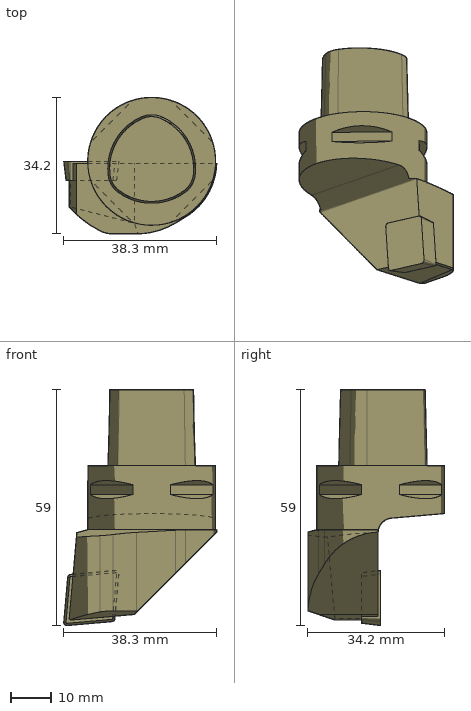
import cadquery as cq
import math

shank_length = 19.0
shank_half_taper = math.degrees(math.atan(1 / 40))
lobe_reach = 11.65
side_reach = 10.5
lobe_radius = 6.25
lobe_directions = (90, 210, 330)

flange_radius = 16.0
flange_height = 16.0

groove_depth_z = -6.0
groove_floor_distance = 14.15
groove_floor_width = 2.4
groove_flank_angle = 30.0
groove_directions = (45, 135, 225, 315)

lead_angle = 5.0
head_bottom = -45.0
head_top_slope = 15.0
heel_radius = 16.3
front_y = -18.16
front_start_x = -9.72
front_end_x = -3.77
front_round_radius = 18.75
nose_blend_radius = 7.0
nose_blend_angle = 27.0
side_round_radius = 26.0
side_round_span = 26.0
back_relief_offset = 32.9
front_relief_angle = 19.0
front_relief_z = -36.3
head_corner_chamfer = 0.4
head_setback = 1.3

rake_face_y = -0.6
chip_roof_angle = 5.0
chip_roof_z = -13.45
chip_round_radius = 3.6

tip_x = -22.0
tip_z = -40.0
insert_edge = 12.9
insert_thickness = 4.76
insert_clearance = 7.0
insert_nose_radius = 0.8

cut_reach = 60.0


def polar(center, radius, angle):
    """Point at a radius and angle in degrees around a centre."""
    turn = math.radians(angle)
    return (center[0] + radius * math.cos(turn), center[1] + radius * math.sin(turn))


def make_shank():
    """Tapered polygon of three small lobe arcs joined tangentially by three wide side arcs."""
    lobe_offset = lobe_reach - lobe_radius
    step = side_reach - lobe_radius
    side_offset = (lobe_offset**2 - step**2) / (2 * step - lobe_offset)
    tangent_angle = math.degrees(math.atan2(
        side_offset * math.sin(math.radians(60)),
        lobe_offset + side_offset * math.cos(math.radians(60)),
    ))
    origin = (0, 0)
    start_lobe = polar(origin, lobe_offset, lobe_directions[0])
    outline = cq.Workplane("XY").moveTo(*polar(start_lobe, lobe_radius, lobe_directions[0] - tangent_angle))
    for direction in lobe_directions:
        lobe = polar(origin, lobe_offset, direction)
        next_lobe = polar(origin, lobe_offset, direction + 120)
        outline = outline.threePointArc(
            polar(origin, lobe_reach, direction),
            polar(lobe, lobe_radius, direction + tangent_angle),
        )
        outline = outline.threePointArc(
            polar(origin, side_reach, direction + 60),
            polar(next_lobe, lobe_radius, direction + 120 - tangent_angle),
        )
    return outline.close().extrude(shank_length, taper=shank_half_taper)


def make_groove(direction):
    """Cutter for one trapezoidal gripper groove, straight across the flange."""
    depth = flange_radius - groove_floor_distance
    half_floor = groove_floor_width / 2
    half_mouth = half_floor + depth * math.tan(math.radians(groove_flank_angle))
    return (
        cq.Workplane("XZ")
        .polyline([
            (groove_floor_distance, groove_depth_z - half_floor),
            (groove_floor_distance, groove_depth_z + half_floor),
            (flange_radius, groove_depth_z + half_mouth),
            (flange_radius, groove_depth_z - half_mouth),
        ])
        .close()
        .extrude(flange_radius, both=True)
        .rotate((0, 0, 0), (0, 0, 1), direction)
    )


def make_flange():
    flange = cq.Workplane("XY").circle(flange_radius).extrude(-flange_height)
    for direction in groove_directions:
        flange = flange.cut(make_groove(direction))
    return flange


def make_head_block():
    """Prism over the plan outline of the head: flat front, rounded towards both sides."""
    front_center = (front_end_x, front_y + front_round_radius)
    center_distance = math.hypot(*front_center)
    center_direction = math.degrees(math.atan2(-front_center[1], -front_center[0]))
    heel_angle = center_direction - math.degrees(
        math.acos((front_round_radius - heel_radius) / center_distance)
    )
    blend_center = (front_start_x, front_y + nose_blend_radius)
    blend_end = -90 - nose_blend_angle
    side_center = polar(blend_center, side_round_radius - nose_blend_radius, blend_end + 180)
    side_end = blend_end - side_round_span
    origin = (0, 0)
    return (
        cq.Workplane("XY")
        .moveTo(heel_radius, 0)
        .threePointArc(polar(origin, heel_radius, heel_angle / 2), polar(origin, heel_radius, heel_angle))
        .lineTo(*polar(front_center, front_round_radius, heel_angle))
        .threePointArc(
            polar(front_center, front_round_radius, (heel_angle - 90) / 2),
            (front_end_x, front_y),
        )
        .lineTo(front_start_x, front_y)
        .threePointArc(
            polar(blend_center, nose_blend_radius, (blend_end - 90) / 2),
            polar(blend_center, nose_blend_radius, blend_end),
        )
        .threePointArc(
            polar(side_center, side_round_radius, (blend_end + side_end) / 2),
            polar(side_center, side_round_radius, side_end),
        )
        .lineTo(polar(side_center, side_round_radius, side_end)[0], 0)
        .close()
        .extrude(head_bottom)
    )


def make_head_top():
    """Solid of revolution below the conical shoulder that starts at the flange rim."""
    outer_radius = cut_reach / 2
    shoulder_drop = (outer_radius - flange_radius) * math.tan(math.radians(head_top_slope))
    return (
        cq.Workplane("XZ")
        .polyline([
            (0, -flange_height),
            (flange_radius, -flange_height),
            (outer_radius, -flange_height - shoulder_drop),
            (outer_radius, head_bottom),
            (0, head_bottom),
        ])
        .close()
        .revolve(360, (0, 0, 0), (0, 1, 0))
    )


def make_head_silhouette():
    """Prism along Y bounded by the tilted side and end walls and the 45 degree back relief."""
    tilt = math.tan(math.radians(lead_angle))
    wall_offset = head_setback / math.cos(math.radians(lead_angle))
    nose_x = tip_x + insert_nose_radius
    nose_z = tip_z + insert_nose_radius
    nose_to_wall = insert_nose_radius / math.cos(math.radians(lead_angle)) - wall_offset
    corner = (nose_x - nose_to_wall / (1 - tilt), nose_z - nose_to_wall / (1 - tilt))
    side_top = (corner[0] - tilt * corner[1], 0)
    end_x = (corner[1] - tilt * corner[0] + back_relief_offset) / (1 - tilt)
    return (
        cq.Workplane("XZ")
        .polyline([
            side_top,
            corner,
            (end_x, end_x - back_relief_offset),
            (back_relief_offset, 0),
        ])
        .close()
        .extrude(cut_reach)
        .edges(cq.selectors.NearestToPointSelector((corner[0], -cut_reach / 2, corner[1])))
        .chamfer(head_corner_chamfer)
    )


def make_front_relief():
    """Cutter for the sloped relief along the lower front of the head."""
    drop = cut_reach * math.tan(math.radians(front_relief_angle))
    return (
        cq.Workplane("YZ")
        .polyline([
            (front_y, front_relief_z),
            (front_y + cut_reach, front_relief_z - drop),
            (front_y, front_relief_z - drop),
        ])
        .close()
        .extrude(cut_reach / 2, both=True)
    )


def make_chip_space():
    """Cutter behind the rake face, with a sloped roof blended into the face."""
    rise = cut_reach * math.tan(math.radians(chip_roof_angle))
    return (
        cq.Workplane("YZ")
        .polyline([
            (rake_face_y, chip_roof_z),
            (rake_face_y + cut_reach, chip_roof_z + rise),
            (rake_face_y + cut_reach, -cut_reach),
            (rake_face_y, -cut_reach),
        ])
        .close()
        .extrude(cut_reach / 2, both=True)
        .edges(cq.selectors.NearestToPointSelector((0, rake_face_y, chip_roof_z)))
        .fillet(chip_round_radius)
    )


def make_insert():
    """Rhombic insert, tapering by its clearance angle from the rake face to its seat."""
    lead = math.radians(lead_angle)
    along_end = (insert_edge * math.cos(lead), insert_edge * math.sin(lead))
    along_side = (along_end[1], along_end[0])
    corner_half_angle = math.radians(45 - lead_angle)
    inset = insert_nose_radius * (1 - math.sqrt(0.5) / math.sin(corner_half_angle))
    corner = (tip_x + inset, tip_z + inset)
    outline = (
        cq.Sketch()
        .polygon([
            corner,
            (corner[0] + along_end[0], corner[1] + along_end[1]),
            (corner[0] + along_end[0] + along_side[0], corner[1] + along_end[1] + along_side[1]),
            (corner[0] + along_side[0], corner[1] + along_side[1]),
            corner,
        ])
        .vertices()
        .fillet(insert_nose_radius)
    )
    return cq.Workplane("XZ").placeSketch(outline).extrude(insert_thickness, taper=insert_clearance)


def make_holder(insert):
    head = make_head_block().intersect(make_head_top()).intersect(make_head_silhouette())
    head = head.cut(make_front_relief())
    return make_flange().union(head).cut(make_chip_space()).cut(insert)


shank = make_shank()
insert = make_insert()
holder = make_holder(insert)

result = cq.Compound.makeCompound([shank.val(), *holder.vals(), insert.val()])